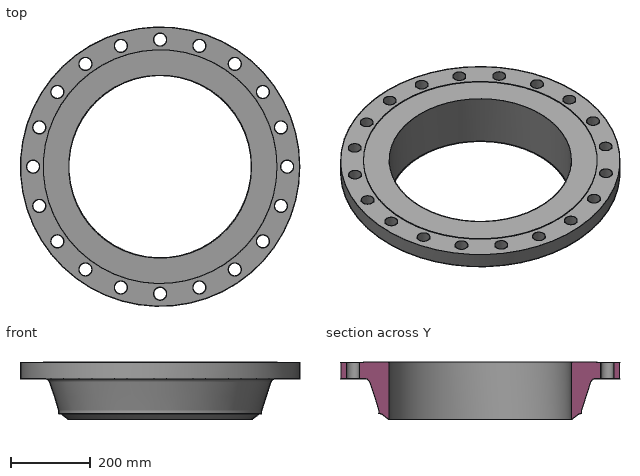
import cadquery as cq
import math

flange_diameter = 698.5
overall_height = 144.46
flange_thickness = 42.9
bore_diameter = 455.62

raised_face_diameter = 584.2
raised_face_height = 1.6

bolt_count = 20
bolt_circle_diameter = 635.0
bolt_hole_diameter = 31.75

hub_base_diameter = 558.8
hub_fillet_radius = 12.7
weld_end_diameter = 508.0
neck_top_height = 22.2

root_face_width = 1.6
steep_bevel_width = 19.05
steep_bevel_angle = 37.5
shallow_bevel_angle = 10.0

flange_top = overall_height - raised_face_height
flange_bottom = overall_height - flange_thickness

bore_radius = bore_diameter / 2
weld_end_radius = weld_end_diameter / 2
weld_tip_radius = bore_radius + root_face_width
bevel_break_radius = bore_radius + steep_bevel_width
bevel_break_height = (bevel_break_radius - weld_tip_radius) * math.tan(math.radians(steep_bevel_angle))
shallow_bevel_rise = (weld_end_radius - bevel_break_radius) * math.tan(math.radians(shallow_bevel_angle))
neck_bottom_height = bevel_break_height + shallow_bevel_rise

selection_margin = 0.1


def make_body():
    """Revolve the half section of the flange, hub and weld end about Z."""
    section = (
        cq.Workplane("XZ")
        .moveTo(bore_radius, 0)
        .lineTo(weld_tip_radius, 0)
        .lineTo(bevel_break_radius, bevel_break_height)
        .lineTo(weld_end_radius, neck_bottom_height)
        .lineTo(weld_end_radius, neck_top_height)
        .lineTo(hub_base_diameter / 2, flange_bottom)
        .lineTo(flange_diameter / 2, flange_bottom)
        .lineTo(flange_diameter / 2, flange_top)
        .lineTo(raised_face_diameter / 2, flange_top)
        .lineTo(raised_face_diameter / 2, overall_height)
        .lineTo(bore_radius, overall_height)
        .close()
    )
    return section.revolve(360, (0, 0, 0), (0, 1, 0))


def round_hub_base(body):
    """Fillet the inside corner where the hub meets the underside of the flange."""
    underside_level = cq.selectors.BoxSelector(
        (-flange_diameter, -flange_diameter, flange_bottom - selection_margin),
        (flange_diameter, flange_diameter, flange_bottom + selection_margin),
    )
    hub_base_edge = body.edges("%CIRCLE").edges(underside_level).edges(cq.selectors.RadiusNthSelector(0))
    return hub_base_edge.fillet(hub_fillet_radius)


def make_bolt_holes():
    """Cylinders that cut the ring of bolt holes, the first one on +X."""
    return (
        cq.Workplane("XY")
        .workplane(offset=flange_bottom)
        .polarArray(bolt_circle_diameter / 2, 0, 360, bolt_count)
        .circle(bolt_hole_diameter / 2)
        .extrude(flange_thickness)
    )


result = round_hub_base(make_body()).cut(make_bolt_holes())